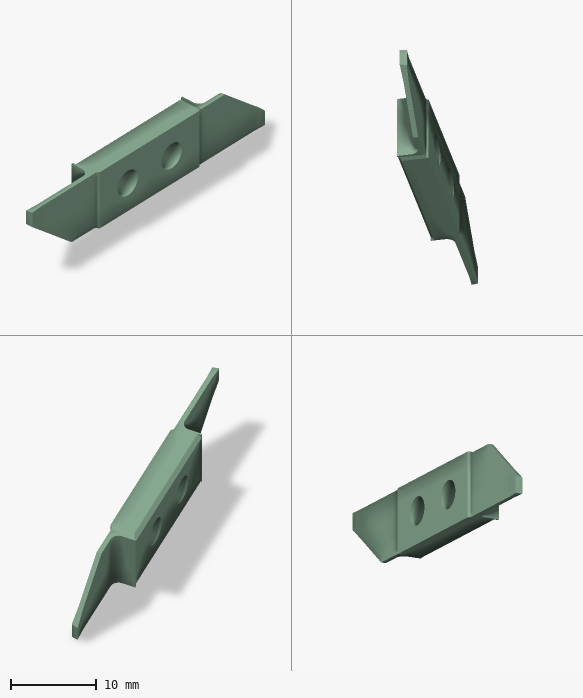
import cadquery as cq
import math

length = 40.0
thickness = 3.6
height = 8.0

body_half_length = 9.45
shoulder_start = 8.5
shoulder_depth = 0.28
hole_diameter = 3.5
hole_spacing = 7.5
edge_chamfer = 0.48
chamfer_half_length = 9.22

blade_front = 2.7
root_radius = 1.0
step_height = 0.22
ramp_start = 8.6
step_ramp = 0.5
slope_angle = 40.0
slope_run = 6.98

tip_length = 1.82
tip_flare = 0.1
tip_end_angle = 12.0

half_length = length / 2
half_height = height / 2
blade_back = thickness - shoulder_depth
tip_front = blade_front - tip_flare
tip_back = blade_back + tip_flare
tip_start = half_length - tip_length
tip_back_end = half_length - (tip_back - tip_front) * math.tan(math.radians(tip_end_angle))


def plan_half():
    """Half of the XY outline (Y >= 0), extruded over the full height."""
    root_x = blade_front - root_radius
    root_y = body_half_length + root_radius
    arc_reach = root_radius * math.sin(math.radians(45))
    return (
        cq.Workplane("XY")
        .workplane(offset=-half_height)
        .moveTo(0, 0)
        .lineTo(0, body_half_length)
        .lineTo(root_x, body_half_length)
        .threePointArc((root_x + arc_reach, root_y - arc_reach), (blade_front, root_y))
        .lineTo(blade_front, tip_start)
        .lineTo(tip_front, half_length)
        .lineTo(tip_back, tip_back_end)
        .lineTo(blade_back, tip_start)
        .lineTo(blade_back, shoulder_start + shoulder_depth)
        .lineTo(thickness, shoulder_start)
        .lineTo(thickness, 0)
        .close()
        .extrude(height)
    )


def side_profile():
    """YZ outline through the full thickness; it maps onto itself when turned 180 degrees about X."""
    step_z = half_height - step_height
    slope_start = half_length - slope_run
    tip_z = step_z - slope_run * math.tan(math.radians(slope_angle))
    upper_points = [
        (-half_length, half_height),
        (ramp_start, half_height),
        (ramp_start + step_ramp, step_z),
        (slope_start, step_z),
        (half_length, tip_z),
    ]
    lower_points = [(-y, -z) for y, z in upper_points]
    return cq.Workplane("YZ").polyline(upper_points + lower_points).close().extrude(thickness)


def edge_chamfer_cutter(side):
    """Triangular prism along the upper (side = 1) or lower (side = -1) front edge."""
    edge_z = side * half_height
    return (
        cq.Workplane("XZ")
        .polyline([(0, edge_z), (edge_chamfer, edge_z), (0, edge_z - side * edge_chamfer)])
        .close()
        .extrude(chamfer_half_length, both=True)
    )


def screw_holes():
    """Two through holes along X."""
    return (
        cq.Workplane("YZ")
        .pushPoints([(-hole_spacing / 2, 0), (hole_spacing / 2, 0)])
        .circle(hole_diameter / 2)
        .extrude(thickness)
    )


plan = plan_half().union(plan_half().mirror("XZ"))
result = plan.intersect(side_profile()).cut(screw_holes())
for side in (1, -1):
    result = result.cut(edge_chamfer_cutter(side))